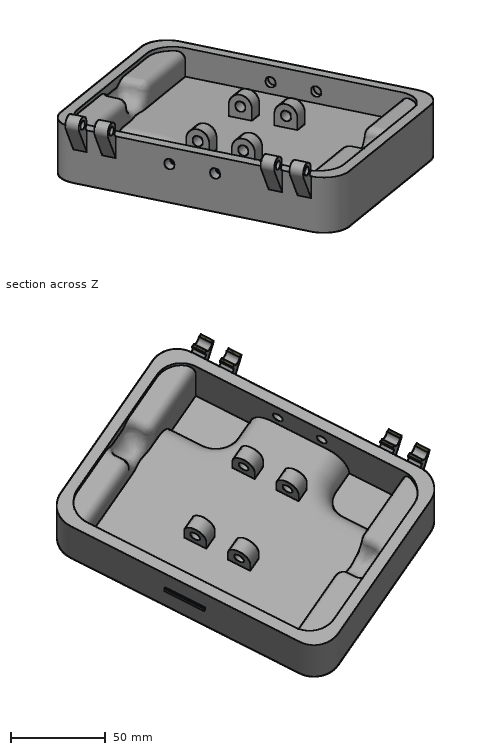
import cadquery as cq
import math

tray_length = 170.0
tray_depth = 125.0
tray_height = 32.0
corner_radius = 15.0
wall = 6.5
half_length = tray_length / 2
half_depth = tray_depth / 2
inner_half_length = half_length - wall
inner_half_depth = half_depth - wall

overrun = 10.2
margin = 0.2

floor_height = 15.5
well_edge_radius = 13.1
well_floor_height = floor_height - well_edge_radius
well_corner_radius = well_edge_radius
well_inner_x = 30.3
well_back_y = -29.4

shelf_width = 15.0
shelf_height = 29.5
shelf_edge_radius = 5.0
shelf_inner_x = inner_half_length - shelf_width
notch_radius = shelf_width - shelf_edge_radius
notch_depth = 11.9
notch_corner_radius = 5.0
notch_first_scale = 0.01
notch_round_steps = 6
notch_straight_steps = 3

rod_hole_diameter = 6.0
rod_x = 13.5
rod_z = 22.3
blind_hole_depth = 3.4

post_width = 13.6
post_thickness = 8.7
post_y = 25.0

hinge_gap = 9.0
lug_thickness = 8.0
lug_outer_diameter = 9.2
lug_hole_diameter = 5.0
lug_axis_offset = 5.0
lug_drop = 12.5
hinge_outer_x = half_length - corner_radius

catch_length = 24.5
catch_height = 2.4
catch_projection = 1.0
catch_z = 17.3


def make_notch_cutter():
    """Round-bottomed notch for the +X shelf, closed by the wall and open towards the middle of the tray.

    It is lofted through one outline that shrinks towards the lowest point along a quarter circle.
    """
    pole_x = inner_half_length - notch_radius
    open_x = shelf_inner_x - shelf_edge_radius
    axis_z = shelf_height - notch_depth + notch_radius
    arc_inset = 1 - math.sqrt(0.5)

    def outline(scale, z):
        side = notch_radius * scale
        corner = notch_corner_radius * scale
        back_x = pole_x + side
        inset = corner * arc_inset
        return (
            cq.Workplane("XY", origin=(0, 0, z))
            .moveTo(open_x, -side)
            .lineTo(back_x - corner, -side)
            .threePointArc((back_x - inset, -side + inset), (back_x, -side + corner))
            .lineTo(back_x, side - corner)
            .threePointArc((back_x - inset, side - inset), (back_x - corner, side))
            .lineTo(open_x, side)
            .close()
            .wire()
            .val()
        )

    first_angle = math.asin(notch_first_scale)
    angle_step = (math.pi / 2 - first_angle) / notch_round_steps
    angles = [first_angle + i * angle_step for i in range(notch_round_steps + 1)]
    sections = [outline(math.sin(a), axis_z - notch_radius * math.cos(a)) for a in angles]
    straight_step = 2 * (shelf_height - axis_z) / notch_straight_steps
    for i in range(1, notch_straight_steps + 1):
        sections.append(outline(1, axis_z + i * straight_step))
    return cq.Workplane(cq.Solid.makeLoft(sections))


def make_right_shelf():
    """Shelf along the +X wall, rounded along its free edge and around the notch.

    The block runs into the walls and below the tray, and is trimmed to the cavity afterwards.
    """
    block = cq.Workplane("XY").box(
        shelf_width + overrun,
        2 * (inner_half_depth + overrun),
        shelf_height + overrun,
        centered=(False, True, False),
    )
    shelf = block.translate((shelf_inner_x, 0, -overrun)).cut(make_notch_cutter())
    top_edges = cq.selectors.BoxSelector(
        (shelf_inner_x - margin, -inner_half_depth, shelf_height - margin),
        (inner_half_length + margin, inner_half_depth, shelf_height + margin),
    )
    inner_face_edges = cq.selectors.BoxSelector(
        (shelf_inner_x - margin, -inner_half_depth, well_floor_height),
        (shelf_inner_x + margin, inner_half_depth, shelf_height + margin),
    )
    return shelf.edges(top_edges + inner_face_edges).fillet(shelf_edge_radius)


def make_cavity():
    """Inside space of the shell, from the well floors upwards."""
    return (
        cq.Workplane("XY", origin=(0, 0, well_floor_height))
        .rect(2 * inner_half_length, 2 * inner_half_depth)
        .extrude(tray_height)
        .edges("|Z")
        .fillet(corner_radius)
    )


def make_raised_floor():
    """Raised floor with a quarter-round drop into a well at each front corner."""
    floor_part = cq.Workplane("XY").box(tray_length, tray_depth, floor_height, centered=(True, True, False))
    well = (
        cq.Workplane("XY")
        .box(half_length, half_depth, floor_height, centered=False)
        .edges("|Z and <X and >Y")
        .fillet(well_corner_radius)
        .translate((well_inner_x, well_back_y - half_depth, 0))
    )
    floor_part = floor_part.cut(well).cut(well.mirror("YZ"))
    for left_x, right_x in ((-half_length, -well_inner_x), (well_inner_x, half_length)):
        rim_edges = cq.selectors.BoxSelector(
            (left_x - margin, margin - half_depth, floor_height - margin),
            (right_x + margin, well_back_y + margin, floor_height + margin),
        )
        floor_part = floor_part.edges(rim_edges).fillet(well_edge_radius)
    return floor_part


def make_rod_holes():
    """Cutter for both rods: through the front wall and the posts, and blind into the back wall."""
    back_end = inner_half_depth + blind_hole_depth
    return (
        cq.Workplane("XZ", origin=(0, back_end, 0))
        .pushPoints([(-rod_x, rod_z), (rod_x, rod_z)])
        .circle(rod_hole_diameter / 2)
        .extrude(back_end + half_depth)
    )


def make_catch():
    """Strip that stands out from the back wall."""
    return cq.Workplane("XY").box(
        catch_length, catch_projection, catch_height, centered=(True, False, True)
    ).translate((0, half_depth, catch_z))


def make_post(x, y):
    """Round-topped block on the raised floor, centred on a rod axis."""
    half_width = post_width / 2
    return (
        cq.Workplane("XZ", origin=(x, y + post_thickness / 2, 0))
        .moveTo(-half_width, floor_height)
        .lineTo(half_width, floor_height)
        .lineTo(half_width, rod_z)
        .threePointArc((0, rod_z + half_width), (-half_width, rod_z))
        .close()
        .extrude(post_thickness)
    )


def make_tray():
    """Housing with its raised floor, side shelves, rod posts, rod holes and catch strip."""
    cavity = make_cavity()
    shell = (
        cq.Workplane("XY")
        .rect(tray_length, tray_depth)
        .extrude(tray_height)
        .edges("|Z")
        .fillet(corner_radius)
        .cut(cavity)
    )
    right_shelf = make_right_shelf()
    tray = shell.union(make_raised_floor().intersect(cavity))
    for shelf in (right_shelf, right_shelf.mirror("YZ")):
        tray = tray.union(shelf.intersect(cavity))
    for x in (-rod_x, rod_x):
        for y in (-post_y, post_y):
            tray = tray.union(make_post(x, y))
    return tray.cut(make_rod_holes()).union(make_catch())


def make_lug(left_x):
    """Hinge lug on the front wall: an eye above the rim, carried by a sloping web."""
    radius = lug_outer_diameter / 2
    wall_y = -half_depth
    eye_y = wall_y - lug_axis_offset
    eye_z = tray_height + lug_axis_offset
    web_foot_z = tray_height - lug_drop

    eye_distance = math.hypot(eye_y - wall_y, eye_z - web_foot_z)
    face_length = math.sqrt(eye_distance**2 - radius**2)
    face_angle = math.atan2(eye_z - web_foot_z, eye_y - wall_y) + math.asin(radius / eye_distance)
    tangent_point = (
        wall_y + face_length * math.cos(face_angle),
        web_foot_z + face_length * math.sin(face_angle),
    )
    web_outline = [(wall_y, web_foot_z), tangent_point, (eye_y, eye_z), (wall_y, tray_height)]
    web = cq.Workplane("YZ", origin=(left_x, 0, 0)).polyline(web_outline).close().extrude(lug_thickness)

    eye_plane = cq.Workplane("YZ", origin=(left_x, eye_y, eye_z))
    eye = eye_plane.circle(radius).extrude(lug_thickness)
    hole = eye_plane.circle(lug_hole_diameter / 2).extrude(lug_thickness)
    return web.union(eye).cut(hole)


def make_lugs():
    """Two pairs of hinge lugs, placed symmetrically about the middle of the tray."""
    outer_start = hinge_outer_x - lug_thickness
    inner_start = outer_start - hinge_gap - lug_thickness
    starts = [-outer_start - lug_thickness, -inner_start - lug_thickness, inner_start, outer_start]
    return [make_lug(left_x) for left_x in starts]


tray = make_tray()
lugs = make_lugs()
result = cq.Compound.makeCompound([tray.val(), *[lug.val() for lug in lugs]])